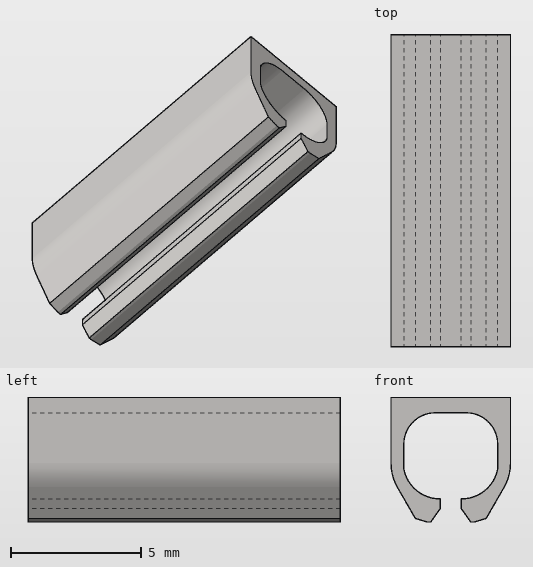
import cadquery as cq
import math

WIDTH = 4.6
HEIGHT = 4.8
LENGTH = 12.0

SIDE_WALL = 0.5
TOP_WALL = 0.6
UPPER_CORNER_RADIUS = 1.2
LOWER_ARC_RADIUS = 1.4
LOWER_ARC_START_Z = -2.75
CAVITY_BOTTOM_Z = -3.9

SHOULDER_START_Z = -2.54
SHOULDER_RADIUS = 1.85
FLANK_ANGLE = 30.0
FLANK_END_Z = -4.66

SLIT_WIDTH = 0.8
FLARE_START_Z = -4.275
LIP_FLAT_INNER_X = 0.77
LIP_FLAT_OUTER_X = 0.9

half_width = WIDTH / 2
half_slit = SLIT_WIDTH / 2
cavity_half = half_width - SIDE_WALL
upper_arc_x = cavity_half - UPPER_CORNER_RADIUS
upper_arc_z = -TOP_WALL - UPPER_CORNER_RADIUS
flank_angle = math.radians(FLANK_ANGLE)


def point_on_arc(centre_x, centre_z, radius, angle):
    """Point on a circle, with the angle in radians measured from +X toward +Z."""
    return (centre_x + radius * math.cos(angle), centre_z + radius * math.sin(angle))


def shoulder_point(angle):
    """Point on the shoulder arc, which leaves the upright side tangentially."""
    return point_on_arc(half_width - SHOULDER_RADIUS, SHOULDER_START_Z, SHOULDER_RADIUS, angle)


def half_channel():
    """The +X half of the channel, cut at the middle plane."""
    flank_start = shoulder_point(-flank_angle)
    flank_run = (flank_start[1] - FLANK_END_Z) * math.tan(flank_angle)
    outline = (
        cq.Workplane("XZ")
        .moveTo(0, 0)
        .lineTo(half_width, 0)
        .lineTo(half_width, SHOULDER_START_Z)
        .threePointArc(shoulder_point(-flank_angle / 2), flank_start)
        .lineTo(flank_start[0] - flank_run, FLANK_END_Z)
        .lineTo(LIP_FLAT_OUTER_X, -HEIGHT)
        .lineTo(LIP_FLAT_INNER_X, -HEIGHT)
        .lineTo(half_slit, FLARE_START_Z)
        .lineTo(half_slit, CAVITY_BOTTOM_Z)
        .radiusArc((cavity_half, LOWER_ARC_START_Z), -LOWER_ARC_RADIUS)
        .lineTo(cavity_half, upper_arc_z)
        .threePointArc(
            point_on_arc(upper_arc_x, upper_arc_z, UPPER_CORNER_RADIUS, math.pi / 4),
            (upper_arc_x, -TOP_WALL),
        )
        .lineTo(0, -TOP_WALL)
        .close()
    )
    return outline.extrude(LENGTH / 2, both=True)


half = half_channel()
result = half.union(half.mirror("YZ")).clean()